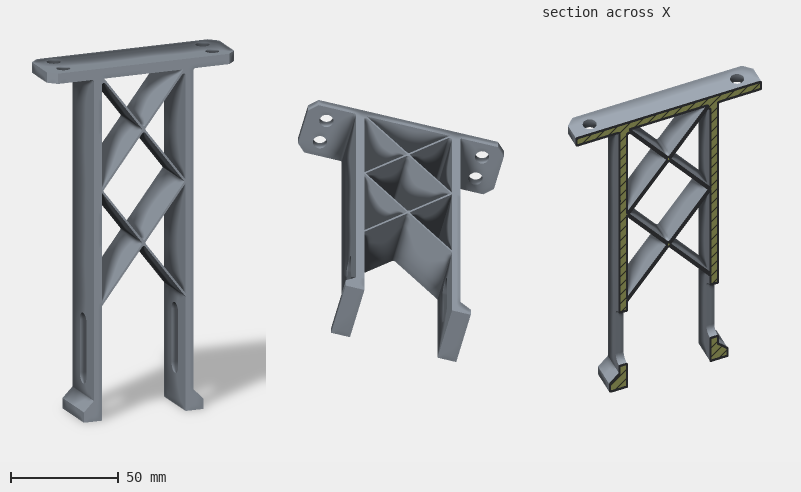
import cadquery as cq
import math

width = 26.0
plate_length = 94.0
height = 170.0

plate_thickness = 5.0
plate_corner = 4.0
hole_diameter = 6.5
hole_spacing_x = 11.7
hole_spacing_y = 74.7

leg_outer_y = 25.0
leg_thickness = 4.0
foot_projection = 5.0
foot_edge_height = 5.0

slot_width = 8.0
slot_length = 34.0
slot_center_z = 32.0

cross_count = 2
cross_height = 54.85
brace_top_z = 165.7
brace_thickness = 1.0

fillet_radius = 1.0

plate_bottom_z = height - plate_thickness
leg_inner_y = leg_outer_y - leg_thickness
sides = (1, -1)


def extrude_across_width(outline):
    """Extrude a closed YZ outline over the full width, centred on X = 0."""
    return outline.extrude(width / 2, both=True)


def make_plate():
    """Rectangular top plate with cut corners."""
    plate = cq.Workplane("XY").workplane(offset=plate_bottom_z)
    plate = plate.rect(width, plate_length).extrude(plate_thickness)
    return plate.edges("|Z").chamfer(plate_corner)


def make_leg(side):
    """Leg with an outward foot and a fillet under the plate."""
    inner_y = side * leg_inner_y
    outer_y = side * leg_outer_y
    foot_y = side * (leg_outer_y + foot_projection)
    fillet_y = side * (leg_outer_y + fillet_radius)
    foot_top_z = foot_edge_height + foot_projection
    outline = (
        cq.Workplane("YZ")
        .moveTo(inner_y, 0)
        .lineTo(foot_y, 0)
        .lineTo(foot_y, foot_edge_height)
        .lineTo(outer_y, foot_top_z)
        .lineTo(outer_y, plate_bottom_z - fillet_radius)
        .radiusArc((fillet_y, plate_bottom_z), side * fillet_radius)
        .lineTo(inner_y, plate_bottom_z)
        .close()
    )
    return extrude_across_width(outline)


def make_brace(side, top_z):
    """Thin diagonal wall running down from one leg to the other."""
    run = 2 * leg_inner_y
    half_depth = brace_thickness / 2 * math.hypot(run, cross_height) / run
    start_y = side * leg_inner_y
    end_y = -start_y
    bottom_z = top_z - cross_height
    outline = (
        cq.Workplane("YZ")
        .moveTo(start_y, top_z + half_depth)
        .lineTo(start_y, top_z - half_depth)
        .lineTo(end_y, bottom_z - half_depth)
        .lineTo(end_y, bottom_z + half_depth)
        .close()
    )
    return extrude_across_width(outline)


def fillet_near(body, y, z):
    """Round the edges along X that lie within one brace thickness of (y, z)."""
    reach = brace_thickness
    near_box = cq.selectors.BoxSelector(
        (-width, y - reach, z - reach),
        (width, y + reach, z + reach),
    )
    return body.edges("|X").edges(near_box).fillet(fillet_radius)


def make_leg_slots():
    """One upright slot running through both legs."""
    slot = cq.Workplane("XZ").center(0, slot_center_z)
    return slot.slot2D(slot_length, slot_width, 90).extrude(plate_length / 2, both=True)


def make_plate_holes():
    """Four mounting holes through the plate."""
    holes = cq.Workplane("XY").workplane(offset=plate_bottom_z)
    holes = holes.rarray(hole_spacing_x, hole_spacing_y, 2, 2)
    return holes.circle(hole_diameter / 2).extrude(plate_thickness)


cross_tops = [brace_top_z - level * cross_height for level in range(cross_count)]

result = make_plate()
for side in sides:
    result = result.union(make_leg(side))
    for top_z in cross_tops:
        result = result.union(make_brace(side, top_z))

for top_z in cross_tops:
    result = fillet_near(result, 0, top_z - cross_height / 2)
for side in sides:
    result = fillet_near(result, side * leg_inner_y, plate_bottom_z)

result = result.cut(make_leg_slots())
result = result.cut(make_plate_holes())